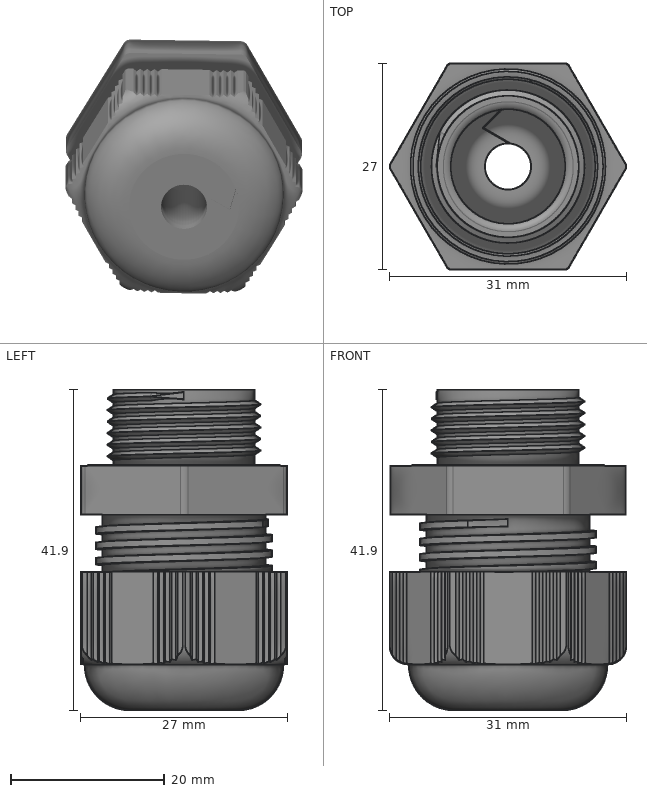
import cadquery as cq
import math


TOTAL_HEIGHT = 41.9
HEX_TOP = 31.95
HEX_BOTTOM = 25.57
NUT_TOP = 18.1
NUT_FLOOR = 6.0

ACROSS_FLATS = 26.95
HEX_SIDES = 6
HEX_CORNER_RADIUS = 1.0
BORE_DIAMETER = 14.95
BORE_MOUTH_RADIUS = 1.0
UPPER_ROOT_DIAMETER = 18.5
UPPER_CREST_DIAMETER = 20.0
UPPER_PITCH = 1.5
UPPER_TURNS = 5.4
UPPER_END_ANGLE = 180.0
UPPER_END_Z = 41.12
UPPER_ROOT_WIDTH = 1.05
UPPER_CREST_WIDTH = 0.05
UPPER_RUNOUT_HEIGHT = 0.13
LOWER_ROOT_DIAMETER = 21.4
LOWER_CREST_DIAMETER = 23.05
LOWER_PITCH = 2.0
LOWER_TURNS = 6.0
LOWER_END_ANGLE = -90.0
LOWER_END_Z = 24.52
LOWER_ROOT_WIDTH = 1.0
LOWER_CREST_WIDTH = 0.85
LOWER_RUNOUT_HEIGHT = 0.3
RUNOUT_ANGLE = 27.0
THREAD_EMBED = 0.2

RING_OUTER_DIAMETER = 25.5
RING_INNER_DIAMETER = 22.8
RING_HEIGHT = 0.15
RING_BEVEL = 0.315

NUT_CORNER_DIAMETER = 30.95
DOME_DIAMETER = 26.0
NUT_OPENING_DIAMETER = 14.38
TOOTH_PITCH = 0.92
TOOTH_DEPTH = 0.35
GROOVES_PER_SIDE = 4
PLAIN_HALF_WIDTH = 3.15

SEAL_DIAMETER = 17.95
CABLE_HOLE_DIAMETER = 6.0
SLIT_WIDTH = 0.05
SLIT_BEND_X = -3.25
SLIT_BEND_Y = 5.05
SLIT_OUTER_HEADING = 45.0
SLIT_INNER_HEADING = -30.0
SLIT_OUTER_LENGTH = 6.3
SLIT_INNER_LENGTH = 4.2


def cylinder(diameter, bottom, top):
    return cq.Workplane("XY").workplane(offset=bottom).circle(diameter / 2).extrude(top - bottom)


def hexagon(bottom, top):
    """Hexagonal prism with corners on the X axis and flats facing Y."""
    across_corners = ACROSS_FLATS / math.cos(math.pi / HEX_SIDES)
    return cq.Workplane("XY").workplane(offset=bottom).polygon(HEX_SIDES, across_corners).extrude(top - bottom)


def ridge_section(angle, z, inner_radius, outer_radius, inner_width, outer_width):
    """Closed trapezoid wire of a thread ridge in the radial plane at the given angle."""
    corners = [
        (inner_radius, z - inner_width / 2),
        (outer_radius, z - outer_width / 2),
        (outer_radius, z + outer_width / 2),
        (inner_radius, z + inner_width / 2),
    ]
    cos_a = math.cos(math.radians(angle))
    sin_a = math.sin(math.radians(angle))
    points = [cq.Vector(r * cos_a, r * sin_a, height) for r, height in corners]
    return cq.Wire.makePolygon(points, close=True)


def thread(root_diameter, crest_diameter, pitch, turns, end_angle, end_z,
           root_width, crest_width, runout_height):
    """Right-handed ridge as a list of solids: the full thread and a run-out at each end."""
    root_radius = root_diameter / 2
    crest_radius = crest_diameter / 2
    inner_radius = root_radius - THREAD_EMBED
    runout_radius = root_radius + runout_height
    start_angle = end_angle - 360 * turns
    full_start = start_angle + RUNOUT_ANGLE
    full_end = end_angle - RUNOUT_ANGLE

    def width_at(radius):
        depth_share = (radius - root_radius) / (crest_radius - root_radius)
        return root_width + depth_share * (crest_width - root_width)

    def section(angle, outer_radius):
        z = end_z - pitch * (end_angle - angle) / 360
        return ridge_section(angle, z, inner_radius, outer_radius,
                             width_at(inner_radius), width_at(outer_radius))

    full_height = pitch * (full_end - full_start) / 360
    start_z = end_z - pitch * (end_angle - full_start) / 360
    helix = cq.Wire.makeHelix(pitch, full_height, inner_radius)
    helix = helix.rotate(cq.Vector(), cq.Vector(0, 0, 1), full_start).translate(cq.Vector(0, 0, start_z))
    full_section = section(full_start, crest_radius)
    full_thread = cq.Solid.sweep(full_section, [], helix, makeSolid=True, isFrenet=True)

    lower_runout = cq.Solid.makeLoft(
        [section(start_angle, runout_radius), section(full_start, crest_radius)], True)
    upper_runout = cq.Solid.makeLoft(
        [section(full_end, crest_radius), section(end_angle, runout_radius)], True)
    return [full_thread, lower_runout, upper_runout]


def sealing_ring():
    """Low ring with sloped sides, standing on the hexagon."""
    outer = RING_OUTER_DIAMETER / 2
    inner = RING_INNER_DIAMETER / 2
    top = HEX_TOP + RING_HEIGHT
    profile = [
        (inner, HEX_TOP),
        (outer, HEX_TOP),
        (outer - RING_BEVEL, top),
        (inner + RING_BEVEL, top),
    ]
    return cq.Workplane("XZ").polyline(profile).close().revolve()


def gland_body():
    body = hexagon(HEX_BOTTOM, HEX_TOP).edges("|Z").fillet(HEX_CORNER_RADIUS)
    body = body.union(sealing_ring())
    body = body.union(cylinder(UPPER_ROOT_DIAMETER, HEX_BOTTOM, TOTAL_HEIGHT))
    body = body.union(cylinder(LOWER_ROOT_DIAMETER, NUT_FLOOR, HEX_BOTTOM))
    body = body.cut(cylinder(BORE_DIAMETER, NUT_FLOOR, TOTAL_HEIGHT))
    bore_mouth = cq.selectors.RadiusNthSelector(0)
    body = body.faces(">Z").edges(bore_mouth).fillet(BORE_MOUTH_RADIUS)
    body = body.cut(cylinder(SEAL_DIAMETER, NUT_FLOOR, NUT_TOP))
    upper_thread = thread(UPPER_ROOT_DIAMETER, UPPER_CREST_DIAMETER, UPPER_PITCH, UPPER_TURNS,
                          UPPER_END_ANGLE, UPPER_END_Z,
                          UPPER_ROOT_WIDTH, UPPER_CREST_WIDTH, UPPER_RUNOUT_HEIGHT)
    lower_thread = thread(LOWER_ROOT_DIAMETER, LOWER_CREST_DIAMETER, LOWER_PITCH, LOWER_TURNS,
                          LOWER_END_ANGLE, LOWER_END_Z,
                          LOWER_ROOT_WIDTH, LOWER_CREST_WIDTH, LOWER_RUNOUT_HEIGHT)
    for ridge in upper_thread + lower_thread:
        body = body.union(cq.Workplane(ridge))
    return body


def nut_blank():
    """Turned outer shape: a cylinder with a rounded lower edge above the dome."""
    dome_radius = DOME_DIAMETER / 2
    corner_radius = NUT_CORNER_DIAMETER / 2
    corner_round = corner_radius - dome_radius
    round_center_z = NUT_FLOOR + corner_round
    dome_center_r = dome_radius - NUT_FLOOR
    diagonal = math.sqrt(0.5)
    return (
        cq.Workplane("XZ")
        .moveTo(0, 0)
        .lineTo(dome_center_r, 0)
        .threePointArc(
            (dome_center_r + NUT_FLOOR * diagonal, NUT_FLOOR * (1 - diagonal)),
            (dome_radius, NUT_FLOOR),
        )
        .threePointArc(
            (dome_radius + corner_round * diagonal, NUT_FLOOR + corner_round * (1 - diagonal)),
            (corner_radius, round_center_z),
        )
        .lineTo(corner_radius, NUT_TOP)
        .lineTo(0, NUT_TOP)
        .close()
        .revolve()
    )


def face_grooves():
    """V grooves of the face toward -Y, mirrored about its plain middle."""
    face_y = -ACROSS_FLATS / 2
    grooves = cq.Workplane("XY").workplane(offset=NUT_FLOOR)
    for side in (-1, 1):
        for index in range(GROOVES_PER_SIDE):
            near = PLAIN_HALF_WIDTH + index * TOOTH_PITCH
            far = near + TOOTH_PITCH
            middle = (near + far) / 2
            grooves = grooves.polyline([
                (side * near, face_y),
                (side * middle, face_y + TOOTH_DEPTH),
                (side * far, face_y),
            ]).close()
    return grooves.extrude(NUT_TOP - NUT_FLOOR)


def clamping_nut():
    nut = nut_blank().intersect(hexagon(0, NUT_TOP))
    grooves = face_grooves()
    for face in range(HEX_SIDES):
        nut = nut.cut(grooves.rotate((0, 0, 0), (0, 0, 1), 360 / HEX_SIDES * face))
    nut = nut.cut(cylinder(LOWER_CREST_DIAMETER, NUT_FLOOR, NUT_TOP))
    return nut.cut(cylinder(NUT_OPENING_DIAMETER, 0, NUT_FLOOR))


def slit_leg(heading, length):
    """Thin upright slab that starts at the bend of the slit."""
    return (
        cq.Workplane("XY")
        .box(length, SLIT_WIDTH, NUT_TOP, centered=(False, True, False))
        .rotate((0, 0, 0), (0, 0, 1), heading)
        .translate((SLIT_BEND_X, SLIT_BEND_Y, 0))
    )


def seal_insert():
    seal = cylinder(SEAL_DIAMETER, NUT_FLOOR, NUT_TOP)
    seal = seal.union(cylinder(NUT_OPENING_DIAMETER, 0, NUT_FLOOR))
    seal = seal.cut(cylinder(CABLE_HOLE_DIAMETER, 0, NUT_TOP))
    seal = seal.cut(slit_leg(SLIT_OUTER_HEADING, SLIT_OUTER_LENGTH))
    return seal.cut(slit_leg(SLIT_INNER_HEADING, SLIT_INNER_LENGTH))


body = gland_body()
nut = clamping_nut()
seal = seal_insert()
result = cq.Compound.makeCompound([*body.solids().vals(), *nut.solids().vals(), *seal.solids().vals()])